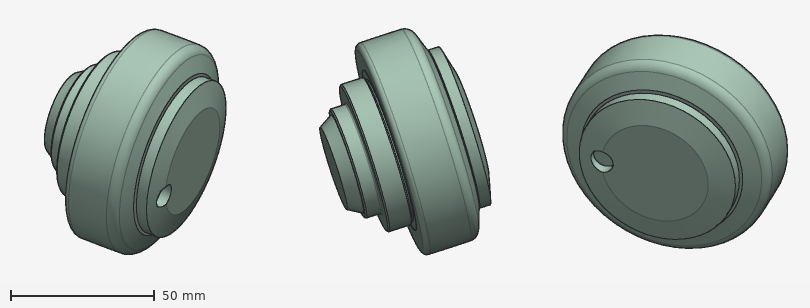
import cadquery as cq
import math

stub_cone_end = 5.0
stub_end = 11.0
collar_end = 20.0
wheel_start = 20.4
wheel_end = 43.4
flange_start = 44.0
flange_rim_end = 48.0
total_length = 50.5

tip_diameter = 30.15
tip_cone_diameter = 36.05
stub_diameter = 40.0
collar_diameter = 54.0
neck_diameter = 52.0
wheel_diameter = 77.7
seal_diameter = 58.8
flange_diameter = 58.0
flange_end_diameter = 39.6

edge_size = 0.55

crown_radius = 500.0
small_round = 2.0
large_round = 4.0
cone_angle = math.radians(20)
tread_start = wheel_start + small_round
tread_end = 37.45

seal_depth = 0.15

hole_diameter = 8.6
hole_offset = flange_end_diameter / 2
hole_depth = 3.9


def disc(diameter, start, end):
    """Cylinder around the X axis between two places along it."""
    return cq.Workplane("YZ").workplane(offset=start).circle(diameter / 2).extrude(end - start)


def revolve_about_x(profile):
    """Revolve a closed X-Y profile a full turn around the X axis."""
    return profile.close().revolve(360, (0, 0, 0), (1, 0, 0))


def make_stub():
    """Tapered tip, then a cylinder with a chamfered front and a rounded root at the collar."""
    tip_radius = tip_diameter / 2
    stub_radius = stub_diameter / 2
    root_start = stub_end - edge_size
    root_mid_shift = edge_size * math.sqrt(0.5)
    return revolve_about_x(
        cq.Workplane("XY")
        .lineTo(0, tip_radius)
        .lineTo(stub_cone_end, tip_cone_diameter / 2)
        .lineTo(stub_cone_end, stub_radius - edge_size)
        .lineTo(stub_cone_end + edge_size, stub_radius)
        .lineTo(root_start, stub_radius)
        .threePointArc(
            (root_start + root_mid_shift, stub_radius + edge_size - root_mid_shift),
            (stub_end, stub_radius + edge_size),
        )
        .lineTo(stub_end, 0)
    )


def make_collar():
    return disc(collar_diameter, stub_end, collar_end).edges("%CIRCLE").chamfer(edge_size)


def make_wheel():
    """Crowned wheel with rounded shoulders and a cone toward the flange."""
    wheel_radius = wheel_diameter / 2
    half_tread = (tread_end - tread_start) / 2
    crown_height = crown_radius - math.sqrt(crown_radius**2 - half_tread**2)
    tread_edge_radius = wheel_radius - crown_height

    small_center_radius = tread_edge_radius - small_round
    small_mid_shift = small_round * math.sqrt(0.5)

    def large_round_point(angle):
        """Point on the large round, at an angle above the X direction."""
        return (
            tread_end + large_round * math.cos(angle),
            tread_edge_radius - large_round + large_round * math.sin(angle),
        )

    cone_start = large_round_point(cone_angle)
    cone_end_radius = cone_start[1] - (wheel_end - cone_start[0]) / math.tan(cone_angle)

    body = revolve_about_x(
        cq.Workplane("XY")
        .moveTo(wheel_start, 0)
        .lineTo(wheel_start, small_center_radius)
        .threePointArc(
            (tread_start - small_mid_shift, small_center_radius + small_mid_shift),
            (tread_start, tread_edge_radius),
        )
        .threePointArc((tread_start + half_tread, wheel_radius), (tread_end, tread_edge_radius))
        .threePointArc(large_round_point((cone_angle + math.pi / 2) / 2), cone_start)
        .lineTo(wheel_end, cone_end_radius)
        .lineTo(wheel_end, 0)
    )
    return body.cut(disc(seal_diameter, wheel_start, wheel_start + seal_depth))


def make_flange():
    """Flange with a conical outer edge."""
    flange_radius = flange_diameter / 2
    return revolve_about_x(
        cq.Workplane("XY")
        .moveTo(flange_start, 0)
        .lineTo(flange_start, flange_radius)
        .lineTo(flange_rim_end, flange_radius)
        .lineTo(total_length, flange_end_diameter / 2)
        .lineTo(total_length, 0)
    )


def make_hole():
    hole = disc(hole_diameter, total_length - hole_depth, total_length)
    return hole.translate((0, -hole_offset, 0))


neck = disc(neck_diameter, stub_end + edge_size, flange_start)

result = (
    make_stub()
    .union(make_collar())
    .union(neck)
    .union(make_wheel())
    .union(make_flange())
    .cut(make_hole())
)